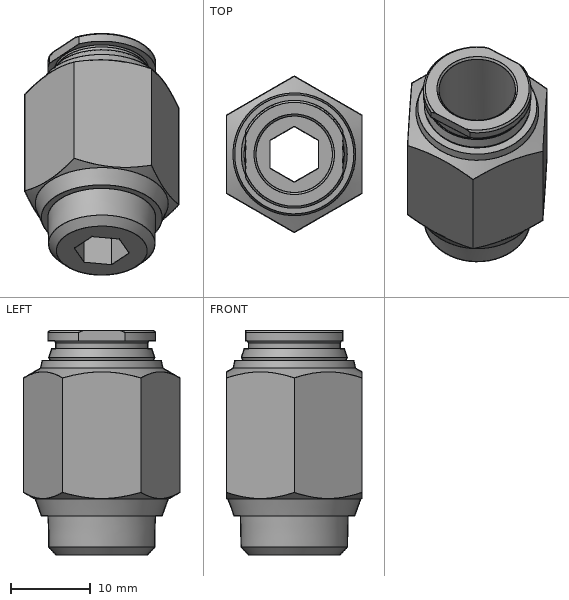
import cadquery as cq
import math

TOTAL_HEIGHT = 28.18
HEX_ACROSS_FLATS = 17.0
HEX_CORNER_RADIUS = HEX_ACROSS_FLATS / math.sqrt(3)
HEX_CHAMFER_SLOPE = math.tan(math.radians(30))

STUB_TIP_RADIUS = 5.7
STUB_CHAMFER_HEIGHT = 1.01
STUB_LOWER_RADIUS = 6.68
STUB_UPPER_RADIUS = 6.75
SEAT_BOTTOM_Z = 4.93
SEAT_BOTTOM_RADIUS = 7.58
SEAT_TOP_Z = 7.02
SEAT_TOP_RADIUS = 8.35

SHOULDER_BOTTOM_Z = 23.45
SHOULDER_BOTTOM_RADIUS = 7.7
SHOULDER_TOP_Z = 24.43
SHOULDER_TOP_RADIUS = 7.47
RING_BASE_RADIUS = 6.48
RING_RIM_Z = 24.8
RING_RIM_RADIUS = 6.65
RING_TOP_Z = 25.9
RING_TOP_RADIUS = 6.28
SLEEVE_BORE_RADIUS = 6.12

NECK_RADIUS = 5.78
FLARE_RADIUS = 5.92
FLARE_BOTTOM_Z = 26.63
FLANGE_BOTTOM_Z = 26.85
FLANGE_RADIUS = 6.75
FLANGE_ACROSS_FLATS = 12.2
RIM_CHAMFER = 0.25
BORE_RADIUS = 4.8
SLEEVE_BOTTOM_Z = 14.1

KEY_ACROSS_FLATS = 6.03


def revolved(outline):
    """Revolve an (r, z) outline about the Z axis."""
    return cq.Workplane("XZ").polyline(outline).close().revolve(360, (0, 0, 0), (0, 1, 0))


def hex_prism(across_flats, height):
    """Hexagonal prism standing on Z = 0, with corners on the Y axis."""
    corner_diameter = 2 * across_flats / math.sqrt(3)
    prism = cq.Workplane("XY").polygon(6, corner_diameter).extrude(height)
    return prism.rotate((0, 0, 0), (0, 0, 1), 30)


def make_fitting():
    """Hexagonal fitting with a threaded stub, a guide ring and a loose bore for the sleeve."""
    lower_chamfer = (HEX_CORNER_RADIUS - SEAT_TOP_RADIUS) * HEX_CHAMFER_SLOPE
    upper_chamfer = (HEX_CORNER_RADIUS - SHOULDER_BOTTOM_RADIUS) * HEX_CHAMFER_SLOPE
    turned = revolved([
        (0, 0),
        (STUB_TIP_RADIUS, 0),
        (STUB_LOWER_RADIUS, STUB_CHAMFER_HEIGHT),
        (STUB_UPPER_RADIUS, SEAT_BOTTOM_Z),
        (SEAT_BOTTOM_RADIUS, SEAT_BOTTOM_Z),
        (SEAT_TOP_RADIUS, SEAT_TOP_Z),
        (HEX_CORNER_RADIUS, SEAT_TOP_Z + lower_chamfer),
        (HEX_CORNER_RADIUS, SHOULDER_BOTTOM_Z - upper_chamfer),
        (SHOULDER_BOTTOM_RADIUS, SHOULDER_BOTTOM_Z),
        (SHOULDER_TOP_RADIUS, SHOULDER_TOP_Z),
        (RING_BASE_RADIUS, SHOULDER_TOP_Z),
        (RING_RIM_RADIUS, RING_RIM_Z),
        (RING_TOP_RADIUS, RING_TOP_Z),
        (0, RING_TOP_Z),
    ])
    key_hole = hex_prism(KEY_ACROSS_FLATS, TOTAL_HEIGHT)
    sleeve_bore = (
        cq.Workplane("XY", origin=(0, 0, SLEEVE_BOTTOM_Z))
        .circle(SLEEVE_BORE_RADIUS)
        .extrude(TOTAL_HEIGHT - SLEEVE_BOTTOM_Z)
    )
    blank = turned.intersect(hex_prism(HEX_ACROSS_FLATS, TOTAL_HEIGHT))
    return blank.cut(key_hole).cut(sleeve_bore)


def make_sleeve():
    """Release sleeve with a flange that has two flats facing -X and +X."""
    turned = revolved([
        (BORE_RADIUS, SLEEVE_BOTTOM_Z),
        (NECK_RADIUS, SLEEVE_BOTTOM_Z),
        (NECK_RADIUS, FLARE_BOTTOM_Z),
        (FLARE_RADIUS, FLANGE_BOTTOM_Z),
        (FLANGE_RADIUS, FLANGE_BOTTOM_Z),
        (FLANGE_RADIUS, TOTAL_HEIGHT - RIM_CHAMFER),
        (FLANGE_RADIUS - RIM_CHAMFER, TOTAL_HEIGHT),
        (BORE_RADIUS + RIM_CHAMFER, TOTAL_HEIGHT),
        (BORE_RADIUS, TOTAL_HEIGHT - RIM_CHAMFER),
    ])
    flats = cq.Workplane("XY").box(
        FLANGE_ACROSS_FLATS, 2 * FLANGE_RADIUS, TOTAL_HEIGHT, centered=(True, True, False)
    )
    return turned.intersect(flats)


fitting = make_fitting()
sleeve = make_sleeve()

result = cq.Compound.makeCompound([fitting.val(), sleeve.val()])